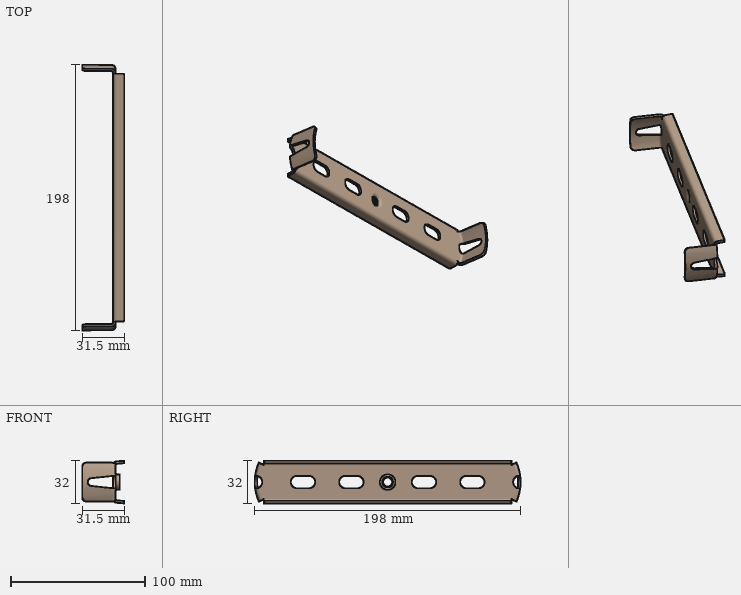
import cadquery as cq
import math

THICKNESS = 2.0
BEND_RADIUS = 3.0
LENGTH = 198.0
FULL_DEPTH = 31.46
FULL_HEIGHT = 31.95

WEB_BACK = 25.0
WEB_FRONT = WEB_BACK - THICKNESS

FLANGE_LENGTH = 184.4
FLANGE_SPLAY = 5.0
FLANGE_CORNER = 1.0

TAB_RADIUS = 35.0
TAB_HALF_ANGLE = 24.6
TAB_CORNER = 3.5
TAB_BEND_INNER_RADIUS = 1.5
TAB_AXIS_Y = LENGTH / 2 - TAB_RADIUS

WINDOW_TIP_X = 4.2
WINDOW_TIP_RADIUS = 3.0
WINDOW_HALF_WIDTH = 4.7
WINDOW_DRAFT = 5.0
WINDOW_WEB_END_Y = 93.4
WINDOW_WEB_RADIUS = 4.7

SLOT_LENGTH = 18.0
SLOT_WIDTH = 9.0
SLOT_OFFSETS = (27.0, 63.0)
HOLE_DIAMETER = 6.65
THREAD_DIAMETER = 8.0
THREAD_PITCH = 1.25
HOLE_MOUTH_RADIUS = 3.0
COLLAR_DIAMETER = 11.6
COLLAR_END_X = 28.2
COLLAR_ROOT_FILLET = 1.0


def flange_section():
    """Closed XZ outline of the upper half of the web and its splayed flange."""
    splay = math.radians(FLANGE_SPLAY)
    inner_radius = BEND_RADIUS - THICKNESS
    centre_x = WEB_FRONT + BEND_RADIUS
    bend_end_x = centre_x - BEND_RADIUS * math.sin(splay)
    reach = FULL_DEPTH - THICKNESS * math.sin(splay) - bend_end_x
    centre_z = FULL_HEIGHT / 2 - reach * math.tan(splay) - BEND_RADIUS * math.cos(splay)

    def on_bend(radius, degrees):
        angle = math.radians(degrees)
        return (centre_x - radius * math.cos(angle), centre_z + radius * math.sin(angle))

    sweep = 90 - FLANGE_SPLAY
    return (
        cq.Workplane("XZ")
        .moveTo(WEB_FRONT, 0)
        .lineTo(WEB_FRONT, centre_z)
        .threePointArc(on_bend(BEND_RADIUS, sweep / 2), on_bend(BEND_RADIUS, sweep))
        .lineTo(FULL_DEPTH - THICKNESS * math.sin(splay), FULL_HEIGHT / 2)
        .lineTo(FULL_DEPTH, FULL_HEIGHT / 2 - THICKNESS * math.cos(splay))
        .lineTo(*on_bend(inner_radius, sweep))
        .threePointArc(on_bend(inner_radius, sweep / 2), on_bend(inner_radius, 0))
        .lineTo(WEB_BACK, 0)
        .close()
    )


def make_channel():
    """Web with both flanges, the flange corners rounded."""
    upper = flange_section().extrude(FLANGE_LENGTH / 2, both=True)
    channel = upper.union(upper.mirror("XY"))
    plan = (
        cq.Workplane("XY")
        .rect(2 * FULL_DEPTH, FLANGE_LENGTH)
        .extrude(FULL_HEIGHT, both=True)
        .edges("|Z and >X")
        .fillet(FLANGE_CORNER)
    )
    return channel.intersect(plan)


def make_window():
    """Cutter for the tab window: a rounded taper in XZ, round-ended in the web."""
    centre_x = WINDOW_TIP_X + WINDOW_TIP_RADIUS
    run = WEB_FRONT - centre_x
    distance = math.hypot(run, WINDOW_HALF_WIDTH)
    tilt = math.atan2(WINDOW_HALF_WIDTH, run) - math.asin(WINDOW_TIP_RADIUS / distance)
    tangent_x = centre_x - WINDOW_TIP_RADIUS * math.sin(tilt)
    tangent_z = WINDOW_TIP_RADIUS * math.cos(tilt)
    end_x = WEB_BACK + THICKNESS
    end_half_width = WINDOW_HALF_WIDTH + (end_x - WEB_FRONT) * math.tan(tilt)
    taper = (
        cq.Workplane("XZ", origin=(0, LENGTH / 2, 0))
        .moveTo(end_x, -end_half_width)
        .lineTo(tangent_x, -tangent_z)
        .threePointArc((WINDOW_TIP_X, 0), (tangent_x, tangent_z))
        .lineTo(end_x, end_half_width)
        .close()
        .extrude(LENGTH / 2 - WINDOW_WEB_END_Y, taper=WINDOW_DRAFT)
    )
    centre_y = WINDOW_WEB_END_Y + WINDOW_WEB_RADIUS
    round_end = (
        cq.Workplane("YZ")
        .moveTo(LENGTH / 2, -WINDOW_WEB_RADIUS)
        .lineTo(centre_y, -WINDOW_WEB_RADIUS)
        .threePointArc((WINDOW_WEB_END_Y, 0), (centre_y, WINDOW_WEB_RADIUS))
        .lineTo(LENGTH / 2, WINDOW_WEB_RADIUS)
        .close()
        .extrude(WEB_BACK)
    )
    return taper.intersect(round_end)


def make_tab():
    """Curved tab at the +Y end, including its bend and the web end it grows from."""
    outer_y = LENGTH / 2
    inner_y = outer_y - THICKNESS
    outer_bend = (WEB_BACK - BEND_RADIUS, outer_y - BEND_RADIUS)
    inner_bend = (WEB_FRONT - TAB_BEND_INNER_RADIUS, inner_y - TAB_BEND_INNER_RADIUS)

    def bend_middle(centre, radius):
        diagonal = radius * math.sqrt(0.5)
        return (centre[0] + diagonal, centre[1] + diagonal)

    profile = (
        cq.Workplane("XY")
        .moveTo(0, inner_y)
        .lineTo(0, outer_y)
        .lineTo(outer_bend[0], outer_y)
        .threePointArc(bend_middle(outer_bend, BEND_RADIUS), (WEB_BACK, outer_bend[1]))
        .lineTo(WEB_BACK, TAB_AXIS_Y)
        .lineTo(WEB_FRONT, TAB_AXIS_Y)
        .lineTo(WEB_FRONT, inner_bend[1])
        .threePointArc(bend_middle(inner_bend, TAB_BEND_INNER_RADIUS), (inner_bend[0], inner_y))
        .close()
    )
    sector = profile.revolve(2 * TAB_HALF_ANGLE, (0, TAB_AXIS_Y), (1, TAB_AXIS_Y))
    tab = sector.rotate((0, TAB_AXIS_Y, 0), (1, TAB_AXIS_Y, 0), -TAB_HALF_ANGLE)
    tip_corners = tab.faces("<X").edges("%LINE")
    return tip_corners.fillet(TAB_CORNER).cut(make_window())


def make_slots():
    """Cutter for the four slots along the web."""
    centres = [(side * offset, 0) for side in (-1, 1) for offset in SLOT_OFFSETS]
    return (
        cq.Workplane("YZ", origin=(WEB_FRONT, 0, 0))
        .pushPoints(centres)
        .slot2D(SLOT_LENGTH, SLOT_WIDTH)
        .extrude(THICKNESS)
    )


def make_collar():
    """Collar behind the central hole, flared by a fillet where it leaves the web."""
    radius = COLLAR_DIAMETER / 2
    flare_radius = radius + COLLAR_ROOT_FILLET
    flare_end_x = WEB_BACK + COLLAR_ROOT_FILLET
    diagonal = COLLAR_ROOT_FILLET * math.sqrt(0.5)
    return (
        cq.Workplane("XY")
        .moveTo(WEB_FRONT, 0)
        .lineTo(WEB_FRONT, flare_radius)
        .lineTo(WEB_BACK, flare_radius)
        .threePointArc((flare_end_x - diagonal, flare_radius - diagonal), (flare_end_x, radius))
        .lineTo(COLLAR_END_X, radius)
        .lineTo(COLLAR_END_X, 0)
        .close()
        .revolve(360, (0, 0), (1, 0))
    )


def make_thread():
    """Cutter for the thread in the collar, as a row of ring-shaped V grooves."""
    minor_radius = HOLE_DIAMETER / 2
    major_radius = THREAD_DIAMETER / 2
    half_pitch = THREAD_PITCH / 2
    groove_count = math.ceil((COLLAR_END_X - WEB_BACK) / THREAD_PITCH)
    outline = cq.Workplane("XY").moveTo(WEB_BACK, 0).lineTo(WEB_BACK, minor_radius)
    for groove in range(groove_count):
        start_x = WEB_BACK + groove * THREAD_PITCH
        outline = outline.lineTo(start_x + half_pitch, major_radius)
        outline = outline.lineTo(start_x + THREAD_PITCH, minor_radius)
    end_x = WEB_BACK + groove_count * THREAD_PITCH
    return outline.lineTo(end_x, 0).close().revolve(360, (0, 0), (1, 0))


def make_hole():
    """Cutter for the central hole with its rounded mouth on the -X face."""
    radius = HOLE_DIAMETER / 2
    mouth_radius = radius + HOLE_MOUTH_RADIUS
    diagonal = HOLE_MOUTH_RADIUS * math.sqrt(0.5)
    mouth_end_x = WEB_FRONT + HOLE_MOUTH_RADIUS
    return (
        cq.Workplane("XY")
        .moveTo(WEB_FRONT, 0)
        .lineTo(WEB_FRONT, mouth_radius)
        .threePointArc((mouth_end_x - diagonal, mouth_radius - diagonal), (mouth_end_x, radius))
        .lineTo(COLLAR_END_X, radius)
        .lineTo(COLLAR_END_X, 0)
        .close()
        .revolve(360, (0, 0), (1, 0))
    )


tab = make_tab()
bracket = make_channel().union(tab).union(tab.mirror("XZ")).union(make_collar())
result = bracket.cut(make_slots()).cut(make_hole()).cut(make_thread())